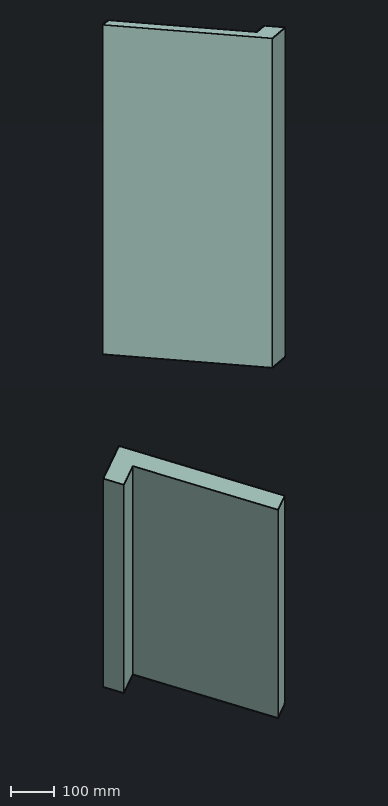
import cadquery as cq

width = 406.0
depth = 101.5
height = 781.0

panel_thickness = 44.0
return_thickness = 51.0

panel = cq.Workplane("XY").box(width, panel_thickness, height, centered=False)

return_leg = (
    cq.Workplane("XY")
    .box(return_thickness, depth, height, centered=False)
    .translate((width - return_thickness, 0, 0))
)

result = panel.union(return_leg)